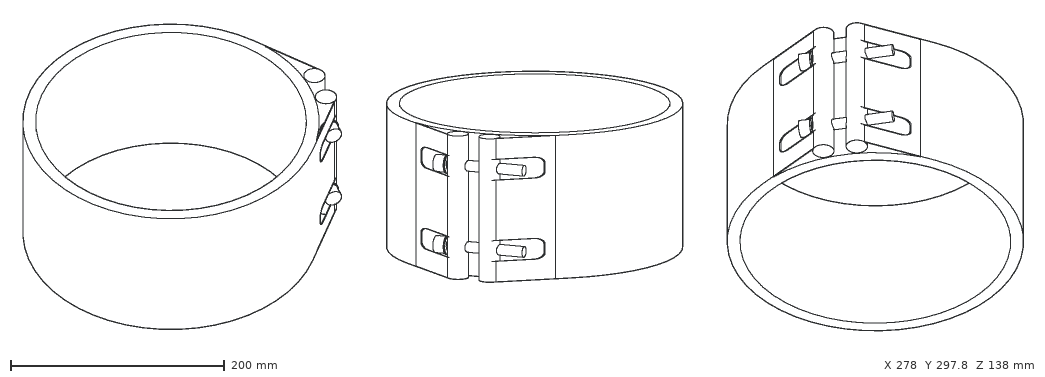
import cadquery as cq
import math

ring_outer_radius = 139.0
ring_inner_radius = 254.0 / 2
height = 138.0

overall_depth = 297.8
rod_radius = 9.98
rod_x = 16.0
rod_y = overall_depth - ring_outer_radius - rod_radius
strap_thickness = 0.75

window_height = 20.0
window_bottom_y = 126.3
window_corner_radius = 6.0

bolt_radius = 10.0 / 2
bolt_z = 39.0
bolt_y = 148.3
bolt_tip_x = -51.0
washer_radius = 18.0 / 2
washer_thickness = 1.5
head_radius = 16.0 / 2
head_end_x = 38.5
washer_x = rod_x + rod_radius


def upright(radius, x=0, y=0):
    """Full-height cylinder along Z."""
    return cq.Workplane("XY", origin=(x, y, -height / 2)).circle(radius).extrude(height)


def along_x(radius, start_x, end_x, z):
    """Cylinder along X on the bolt axis at height z."""
    return cq.Workplane("YZ", origin=(start_x, bolt_y, z)).circle(radius).extrude(end_x - start_x)


def window(z):
    """Cutter for the +X strap, rounded at its lower corners and open towards +Y."""
    depth = overall_depth - ring_outer_radius - window_bottom_y + window_corner_radius
    return (
        cq.Workplane("YZ", origin=(0, window_bottom_y + depth / 2, z))
        .rect(depth, window_height)
        .extrude(ring_outer_radius)
        .edges("|X and <Y")
        .fillet(window_corner_radius)
    )


def strap():
    """Sheet on the +X side whose outer face is tangent to the ring and the rod."""
    center_distance = math.hypot(rod_x, rod_y)
    tilt = math.atan2(rod_x, rod_y) + math.acos((ring_outer_radius - rod_radius) / center_distance)
    normal = cq.Vector(math.sin(tilt), math.cos(tilt))
    along = cq.Vector(math.cos(tilt), -math.sin(tilt))
    ring_tangent = normal * ring_outer_radius
    rod_tangent = cq.Vector(rod_x, rod_y) + normal * rod_radius
    inner_distance = ring_outer_radius - strap_thickness
    inner_run = math.sqrt(ring_outer_radius**2 - inner_distance**2)
    ring_inner_point = normal * inner_distance - along * inner_run
    rod_inner_point = rod_tangent - normal * strap_thickness
    points = [ring_tangent, rod_tangent, rod_inner_point, ring_inner_point]
    sheet = (
        cq.Workplane("XY", origin=(0, 0, -height / 2))
        .polyline([(p.x, p.y) for p in points])
        .close()
        .extrude(height)
    )
    for z in (-bolt_z, bolt_z):
        sheet = sheet.cut(window(z))
    return sheet


def bolt(z):
    """Shank, washer and cylindrical head."""
    washer_end_x = washer_x + washer_thickness
    shank = along_x(bolt_radius, bolt_tip_x, washer_end_x, z)
    washer = along_x(washer_radius, washer_x, washer_end_x, z)
    head = along_x(head_radius, washer_end_x, head_end_x, z)
    return shank.union(washer).union(head)


result = upright(ring_outer_radius)
right_strap = strap()
for side_strap in (right_strap, right_strap.mirror("YZ")):
    result = result.union(side_strap)
result = result.cut(upright(ring_inner_radius))
for x in (-rod_x, rod_x):
    result = result.union(upright(rod_radius, x, rod_y))
for z in (-bolt_z, bolt_z):
    result = result.union(bolt(z))